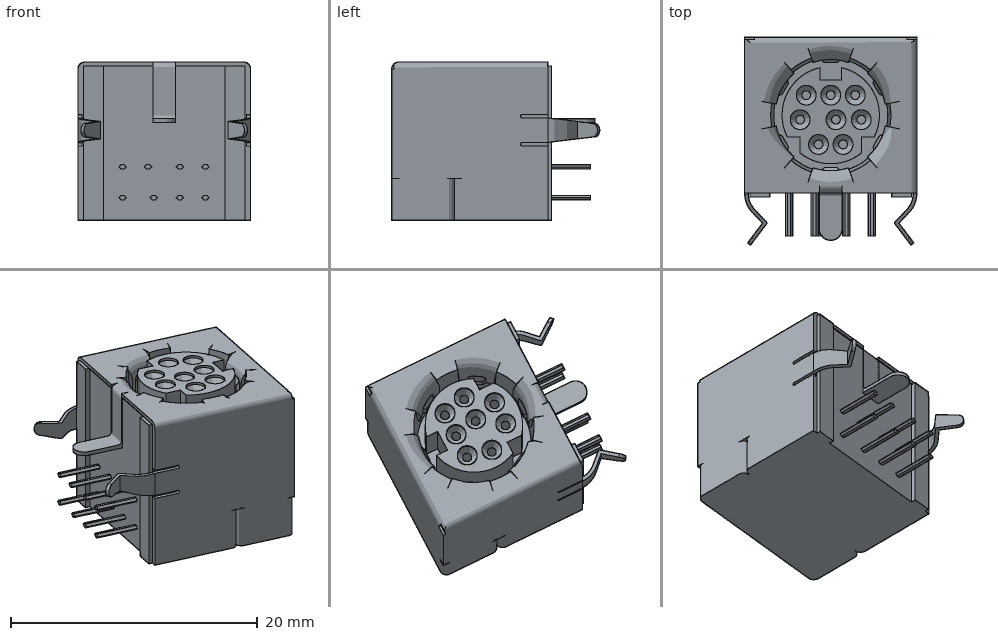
import cadquery as cq
import math

width = 14.0
depth = 12.65
height = 12.84
edge_radius = 0.57
sheet = 0.34
half_width = width / 2
front = -depth / 2
back = depth / 2

notch_width = 0.81
notch_depth = 0.2
seam_height = 3.4
seam_y = 1.23

rail_inner = 4.95
rail_outer = 6.56
rail_height = 12.52
rail_thick = 0.32

face_recess = 0.08

groove_radius = 4.62
mouth_radius = 4.88
mouth_taper = 3.04
groove_depth = 5.06
core_radius = 3.95
key_width = 1.75
key_y = 2.85
step_y = -1.77
step_x = 2.48

hole_diameter = 0.71
sink_diameter = 1.6
sink_rim = 0.2
hole_depth = 3.37
upper_row = [(-1.99, 1.62), (0, 1.62), (1.99, 1.62)]
middle_row = [(-2.48, -0.37), (0.42, -0.37), (2.48, -0.37)]
lower_row = [(-1.0, -2.38), (1.0, -2.38)]

lip_count = 6
lip_first_angle = 30
lip_half_angle = 18.7
lip_outer = 5.7
lip_inner = 4.5
lip_length = 2.7
dimple_radius = 4.25
dimple_base = 1.62
dimple_tip = 1.01
dimple_height = 0.85

tongue_width = 1.85
tongue_top = 8.25
tongue_tip = -10.15
tongue_bend = 0.29

clip_z = 7.3
clip_width = 1.99
clip_sheet = 0.3
clip_arc_radius = 2.13
clip_arc_angle = 44.0
clip_knee_y = -8.74
clip_outward_angle = 37.0
clip_tip = -10.55
clip_tip_width = 1.11
slot_width = 0.27
slot_end = -4.12

pin_width = 0.6
pin_height = 0.35
pin_flat = 0.24
pin_end = -9.8
pin_rows = [(4.34, (-3.37, -1.32, 1.27, 3.34)), (1.84, (-3.37, -0.85, 1.27, 3.34))]


def block(x0, x1, y0, y1, z0, z1):
    return cq.Workplane("XY").box(x1 - x0, y1 - y0, z1 - z0, centered=False).translate((x0, y0, z0))


def both_sides(shape):
    return shape.union(shape.mirror("YZ"))


def shell():
    body = block(-half_width, half_width, front, back, 0, height)
    body = body.faces(">Z").edges("not <Y").fillet(edge_radius)
    notch = block(
        -half_width, -half_width + notch_width, back - notch_depth, back, height - edge_radius, height
    )
    return body.cut(both_sides(notch))


def corner_waste(y, direction):
    """What a rounded vertical edge removes from the left wall, the wall ending at y."""
    x = -half_width
    mid = edge_radius * (1 - math.sqrt(0.5))
    return (
        cq.Workplane("XY")
        .moveTo(x, y)
        .lineTo(x + edge_radius, y)
        .threePointArc((x + mid, y - direction * mid), (x, y - direction * edge_radius))
        .close()
        .extrude(seam_height)
    )


def side_seams():
    waste = corner_waste(back, 1)
    waste = waste.union(corner_waste(seam_y, 1)).union(corner_waste(seam_y, -1))
    return both_sides(waste)


def rails():
    return both_sides(
        block(rail_inner, rail_outer, front - rail_thick, front + face_recess, 0, rail_height)
    )


def front_recess():
    return block(-rail_outer, rail_outer, front, front + face_recess, 0, rail_height)


def socket_groove():
    floor = height - groove_depth
    return (
        cq.Workplane("XZ")
        .polyline(
            [
                (0, floor),
                (groove_radius, floor),
                (groove_radius, height - sheet - mouth_taper),
                (mouth_radius, height - sheet),
                (mouth_radius, height),
                (0, height),
            ]
        )
        .close()
        .revolve(360, (0, 0, 0), (0, 1, 0))
    )


def socket_core():
    floor = height - groove_depth
    core = cq.Workplane("XY").circle(core_radius).extrude(groove_depth).translate((0, 0, floor))
    key = block(-key_width / 2, key_width / 2, key_y, core_radius, floor, height)
    step = block(step_x, core_radius, -core_radius, step_y, floor, height)
    core = core.cut(key).cut(both_sides(step))
    sink_depth = (sink_diameter - hole_diameter) / 2
    contact = (
        cq.Workplane("XZ")
        .polyline(
            [
                (0, height),
                (sink_diameter / 2, height),
                (sink_diameter / 2, height - sink_rim),
                (hole_diameter / 2, height - sink_rim - sink_depth),
                (hole_diameter / 2, height - hole_depth),
                (0, height - hole_depth),
            ]
        )
        .close()
        .revolve(360, (0, 0, 0), (0, 1, 0))
    )
    for x, y in upper_row + middle_row + lower_row:
        core = core.cut(contact.translate((x, y, 0)))
    return core


def lip_sector(outline):
    """Revolve an outline in the radius-height plane over one lip, centred on +X."""
    sector = outline.revolve(2 * lip_half_angle, (0, 0, 0), (0, 1, 0))
    return sector.rotate((0, 0, 0), (0, 0, 1), -lip_half_angle)


def lip_dimple():
    """Contact bump on the inside of the lip centred on +X, sloping in from the lip's roll."""
    root = lip_outer - sheet
    slope_top = height - (lip_outer - lip_inner)
    bottom = height - lip_length
    plan = (
        cq.Workplane("XY")
        .polyline(
            [
                (root, -dimple_base / 2),
                (lip_inner, -dimple_base / 2),
                (dimple_radius, -dimple_tip / 2),
                (dimple_radius, dimple_tip / 2),
                (lip_inner, dimple_base / 2),
                (root, dimple_base / 2),
            ]
        )
        .close()
        .extrude(height)
    )
    slope = (
        cq.Workplane("XZ")
        .polyline(
            [
                (root, slope_top),
                (lip_inner, slope_top),
                (dimple_radius, bottom + dimple_height),
                (dimple_radius, bottom),
                (root, bottom),
            ]
        )
        .close()
        .extrude(dimple_base / 2, both=True)
    )
    return plan.intersect(slope)


def lips(body):
    """Add the rolled lips and their contact bumps to the body."""
    roll = lip_outer - lip_inner
    bend_z = height - roll
    mid = roll * math.sqrt(0.5)
    arc_mid = (lip_outer - mid, bend_z + mid)
    waste = (
        cq.Workplane("XZ")
        .moveTo(lip_outer, height)
        .threePointArc(arc_mid, (lip_inner, bend_z))
        .lineTo(lip_inner, height)
        .close()
    )
    lip = (
        cq.Workplane("XZ")
        .moveTo(lip_outer, height)
        .threePointArc(arc_mid, (lip_inner, bend_z))
        .lineTo(lip_inner, height - lip_length)
        .lineTo(lip_outer, height - lip_length)
        .close()
    )
    dimple = lip_dimple()
    waste = lip_sector(waste)
    lip = lip_sector(lip)
    axis = ((0, 0, 0), (0, 0, 1))
    for i in range(lip_count):
        angle = lip_first_angle + i * 360 / lip_count
        body = body.union(lip.rotate(*axis, angle))
        body = body.cut(waste.rotate(*axis, angle))
        body = body.union(dimple.rotate(*axis, angle))
    return body


def tongue():
    """Strip that runs down the front face from the top edge, then bends forward."""
    inner = front + sheet
    bottom = tongue_top - sheet
    profile = (
        cq.Workplane("YZ")
        .moveTo(inner, height)
        .lineTo(front, height)
        .lineTo(front, tongue_top)
        .lineTo(tongue_tip, tongue_top)
        .lineTo(tongue_tip, bottom)
        .lineTo(inner, bottom)
        .close()
        .extrude(tongue_width / 2, both=True)
    )
    near = tongue_bend / 2
    bend_edge = cq.selectors.BoxSelector(
        (-tongue_width, front - near, tongue_top - near),
        (tongue_width, front + near, tongue_top + near),
    )
    profile = profile.edges(bend_edge).fillet(tongue_bend)
    tip_radius = tongue_width / 2
    plan = (
        cq.Workplane("XY")
        .moveTo(-tip_radius, inner)
        .lineTo(-tip_radius, tongue_tip + tip_radius)
        .threePointArc((0, tongue_tip), (tip_radius, tongue_tip + tip_radius))
        .lineTo(tip_radius, inner)
        .close()
        .extrude(height)
    )
    return profile.intersect(plan)


def tongue_shoulder():
    """What rounding the top front edge over the tongue removes."""
    mid = edge_radius * (1 - math.sqrt(0.5))
    return (
        cq.Workplane("YZ")
        .moveTo(front, height)
        .lineTo(front + edge_radius, height)
        .threePointArc((front + mid, height - mid), (front, height - edge_radius))
        .close()
        .extrude(tongue_width / 2, both=True)
    )


def clip_leg(start, end):
    """Flat stretch of the right-hand clip between two points of its centre line."""
    dx = end[0] - start[0]
    dy = end[1] - start[1]
    length = math.hypot(dx, dy)
    leg = cq.Workplane("XY").box(length, clip_sheet, clip_width, centered=(False, True, True))
    leg = leg.rotate((0, 0, 0), (0, 0, 1), math.degrees(math.atan2(dy, dx)))
    return leg.translate((start[0], start[1], clip_z))


def clip():
    """Right-hand clip: a bend and a leg inward, a knee, and a leg outward with a round end."""
    wall_x = half_width - sheet / 2
    inward = math.radians(clip_arc_angle)
    outward = math.radians(clip_outward_angle)
    arc_end = (
        wall_x - clip_arc_radius * (1 - math.cos(inward)),
        front - clip_arc_radius * math.sin(inward),
    )
    knee = (arc_end[0] - (arc_end[1] - clip_knee_y) * math.tan(inward), clip_knee_y)
    tip_radius = clip_tip_width / 2
    round_y = clip_tip + tip_radius * math.cos(outward) + clip_sheet / 2 * math.sin(outward)
    round_centre = (knee[0] + (clip_knee_y - round_y) * math.tan(outward), round_y)

    bend = (
        cq.Workplane("XZ", origin=(wall_x, front, clip_z))
        .rect(clip_sheet, clip_width)
        .revolve(clip_arc_angle, (-clip_arc_radius, 0.17, 0), (-clip_arc_radius, 0, 0))
    )
    knee_fill = (
        cq.Workplane("XY", origin=(knee[0], knee[1], clip_z))
        .circle(clip_sheet / 2)
        .extrude(clip_width / 2, both=True)
    )
    round_end = (
        cq.Workplane("YZ")
        .circle(tip_radius)
        .extrude(clip_sheet / 2, both=True)
        .rotate((0, 0, 0), (0, 0, 1), clip_outward_angle)
        .translate((round_centre[0], round_centre[1], clip_z))
    )
    strip = clip_leg((wall_x, front + sheet), (wall_x, front)).union(bend)
    strip = strip.union(clip_leg(arc_end, knee)).union(knee_fill)
    strip = strip.union(clip_leg(knee, round_centre)).union(round_end)
    taper = (
        cq.Workplane("YZ")
        .polyline(
            [
                (front + sheet, clip_width / 2),
                (front, clip_width / 2),
                (round_y, tip_radius),
                (clip_tip, tip_radius),
                (clip_tip, -tip_radius),
                (round_y, -tip_radius),
                (front, -clip_width / 2),
                (front + sheet, -clip_width / 2),
            ]
        )
        .close()
        .extrude(half_width)
        .translate((0, 0, clip_z))
    )
    return strip.intersect(taper)


def clip_slots():
    """Right-hand slots above and below the clip."""
    round_y = slot_end - slot_width / 2
    slot = block(0, sheet, front, round_y, -slot_width / 2, slot_width / 2)
    end = cq.Workplane("YZ").center(round_y, 0).circle(slot_width / 2).extrude(sheet)
    slot = slot.union(end).translate((half_width - sheet, 0, clip_z))
    offset = (clip_width + slot_width) / 2
    return slot.translate((0, 0, offset)).union(slot.translate((0, 0, -offset)))


def pins():
    outline = [
        (-pin_width / 2, 0),
        (-pin_flat / 2, pin_height / 2),
        (pin_flat / 2, pin_height / 2),
        (pin_width / 2, 0),
        (pin_flat / 2, -pin_height / 2),
        (-pin_flat / 2, -pin_height / 2),
    ]
    start = front + sheet
    points = [(x, z) for z, row in pin_rows for x in row]
    pin = cq.Workplane("XZ", origin=(0, start, 0)).polyline(outline).close().extrude(start - pin_end)
    group = cq.Workplane("XY")
    for x, z in points:
        group = group.union(pin.translate((x, 0, z)))
    return group


body = shell().cut(side_seams()).cut(front_recess())
body = body.union(rails())
body = body.cut(socket_groove()).union(socket_core())
body = lips(body)
body = body.union(tongue()).cut(tongue_shoulder())
body = body.cut(both_sides(clip_slots())).union(both_sides(clip()))
result = body.union(pins())